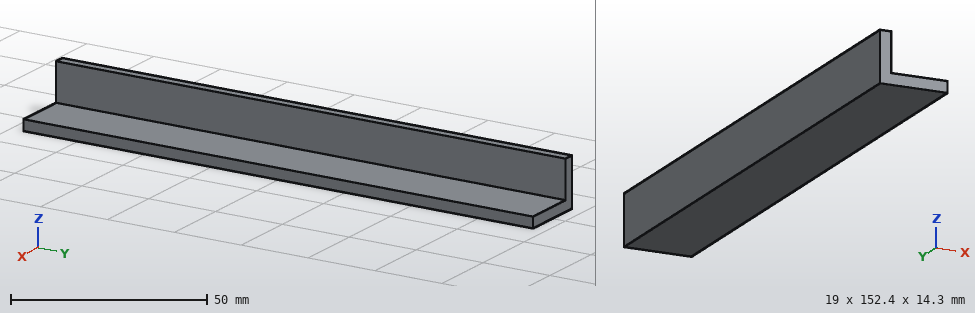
import cadquery as cq

length = 152.4
base_width = 19.0
wall_height = 14.3
thickness = 3.2

base = cq.Workplane("XY").box(base_width, length, thickness, centered=False)
wall = cq.Workplane("XY").box(thickness, length, wall_height, centered=False)

result = base.union(wall)